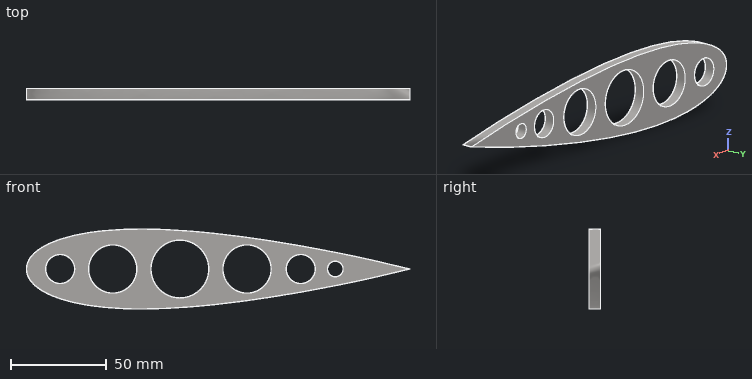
import cadquery as cq

chord = 200.0
rib_thickness = 6.0
airfoil_height = 41.8
stations = 40

holes = [
    (17.5, 15.0),
    (45.0, 25.0),
    (80.0, 30.0),
    (115.0, 25.0),
    (143.0, 15.0),
    (161.0, 8.0),
]


def half_height(fraction):
    """Half height of a symmetric NACA four-digit airfoil with a closed tail."""
    shape = (
        0.2969 * fraction**0.5
        - 0.1260 * fraction
        - 0.3516 * fraction**2
        + 0.2843 * fraction**3
        - 0.1036 * fraction**4
    )
    return 5 * airfoil_height * shape


def airfoil_points():
    """Upper surface from tail to nose, then lower surface back to the tail."""
    points = []
    for step in range(-stations, stations + 1):
        fraction = (step / stations) ** 2
        side = 1 if step < 0 else -1
        points.append((chord * fraction, side * half_height(fraction)))
    points[0] = points[-1] = (chord, 0)
    return points


def rib_blank():
    """Airfoil plate centred on the XZ plane."""
    outline = cq.Workplane("XZ", origin=(0, rib_thickness / 2, 0)).spline(airfoil_points()).close()
    return outline.extrude(rib_thickness)


def drill(body, position, diameter):
    """Cut one round hole through the full thickness."""
    cutter = (
        cq.Workplane("XZ")
        .center(position, 0)
        .circle(diameter / 2)
        .extrude(rib_thickness, both=True)
    )
    return body.cut(cutter)


result = rib_blank()
for hole_position, hole_diameter in holes:
    result = drill(result, hole_position, hole_diameter)